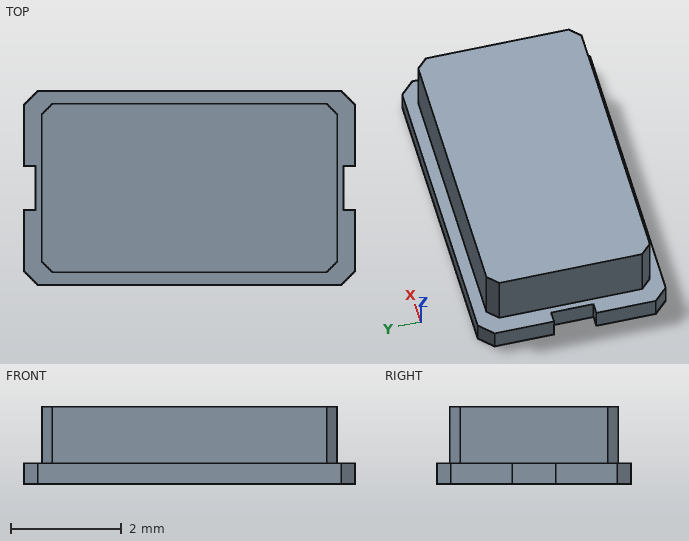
import cadquery as cq

base_length = 5.99
base_width = 3.51
total_height = 1.4

base_thickness = 0.385
base_chamfer = 0.25
notch_depth = 0.21
notch_width = 0.79

lid_length = 5.34
lid_width = 3.05
lid_chamfer = 0.19
lid_height = total_height - base_thickness


def chamfered_plate(length, width, height, chamfer, bottom):
    """Rectangular plate, centred in X and Y, with its four vertical edges chamfered."""
    return (
        cq.Workplane("XY", origin=(0, 0, bottom))
        .box(length, width, height, centered=(True, True, False))
        .edges("|Z")
        .chamfer(chamfer)
    )


def end_notches():
    """Cutters for the rectangular notch in the middle of each short end of the base."""
    return (
        cq.Workplane("XY")
        .pushPoints([(-base_length / 2, 0), (base_length / 2, 0)])
        .rect(2 * notch_depth, notch_width)
        .extrude(base_thickness)
    )


base = chamfered_plate(base_length, base_width, base_thickness, base_chamfer, 0).cut(end_notches())
lid = chamfered_plate(lid_length, lid_width, lid_height, lid_chamfer, base_thickness)

result = base.union(lid)